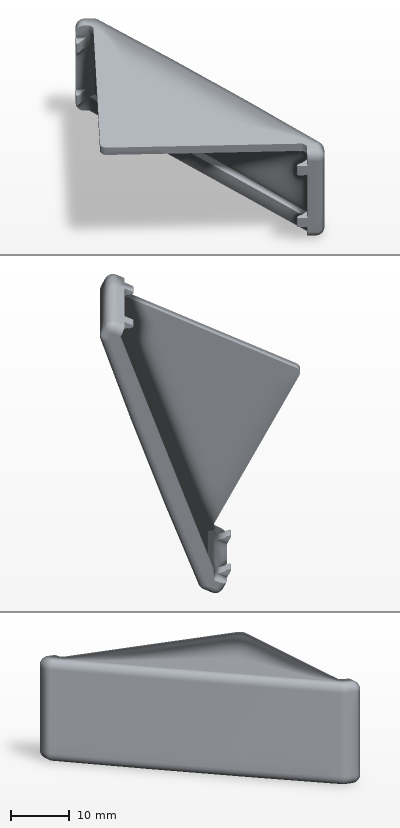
import cadquery as cq
import math

length = 56.8
depth = 27.3
height = 18.0
edge_radius = 1.55

back_sagitta = 0.35
nose_y = -2.95
nose_x = length / 2 + edge_radius * (math.sqrt(2) - 1)
back_corner_y = -back_sagitta
back_corner_x = nose_x - (back_corner_y - nose_y)
return_tip_x = 26.9
return_tip_y = nose_y - (nose_x - return_tip_x)
front_y = -3.4
return_inner_x = return_tip_x - (front_y - return_tip_y)

recess_depth = 1.15
recess_end_x = 25.1
wall_y = front_y + recess_depth
sill_height = 2.9
plate_thickness = edge_radius
plate_bottom = height - plate_thickness

bar_half_length = 23.05
bar_height = 1.35
bar_embed = 0.3
bar_projection = 0.45
bar_depth = bar_projection + back_sagitta + bar_embed

plate_half_width = 24.35
apex_radius = 1.15
apex_y = -depth - apex_radius * (math.sqrt(2) - 1)

hook_height = 1.95
hook_bottoms = (2.55, 13.5)
hook_inner_x = 25.6
hook_nose_x = 25.45
hook_nose_y = -5.3
hook_tip_y = -6.2
hook_tip_radius = 0.15
hook_root_y = -3.5


def prism(points, bottom, top):
    """Extrude a closed polygon between two heights."""
    return cq.Workplane("XY").workplane(offset=bottom).polyline(points).close().extrude(top - bottom)


def make_rail():
    """Back wall with its returns, rounded on every outer edge."""
    rail = (
        cq.Workplane("XY")
        .moveTo(-back_corner_x, back_corner_y)
        .threePointArc((0, 0), (back_corner_x, back_corner_y))
        .lineTo(nose_x, nose_y)
        .lineTo(return_tip_x, return_tip_y)
        .lineTo(return_inner_x, front_y)
        .lineTo(-return_inner_x, front_y)
        .lineTo(-return_tip_x, return_tip_y)
        .lineTo(-nose_x, nose_y)
        .close()
        .extrude(height)
    )
    outer_corners = [(side * x, y) for side in (-1, 1)
                     for x, y in ((back_corner_x, back_corner_y), (nose_x, nose_y))]
    for x, y in outer_corners:
        rail = rail.edges(cq.selectors.NearestToPointSelector((x, y, height / 2))).fillet(edge_radius)
    back_middle_top = cq.selectors.NearestToPointSelector((0, 0, height))
    back_middle_bottom = cq.selectors.NearestToPointSelector((0, 0, 0))
    return rail.edges(back_middle_top).fillet(edge_radius).edges(back_middle_bottom).fillet(edge_radius)


def make_recess():
    """Space between the sill and the plate, ending at a wall that bows like the back."""
    return (
        cq.Workplane("XY")
        .workplane(offset=sill_height)
        .moveTo(-return_inner_x, front_y)
        .lineTo(-recess_end_x, wall_y)
        .threePointArc((0, wall_y + back_sagitta), (recess_end_x, wall_y))
        .lineTo(return_inner_x, front_y)
        .close()
        .extrude(plate_bottom - sill_height)
    )


def make_bar():
    """Stiffening bar in the corner between the wall and the plate."""
    return (
        cq.Workplane("XY")
        .box(2 * bar_half_length, bar_depth, bar_height, centered=(True, False, False))
        .translate((0, wall_y - bar_projection, plate_bottom - bar_height))
    )


def make_plate():
    """Triangular plate with a rounded apex."""
    plate = prism([(-plate_half_width, front_y), (plate_half_width, front_y), (0, apex_y)], plate_bottom, height)
    return plate.edges("|Z and <Y").fillet(apex_radius)


def make_hook(side, bottom):
    """Snap hook continuing the outer face of one return."""
    tip_x = nose_x - (nose_y - hook_tip_y)
    outline = [
        (return_tip_x, return_tip_y),
        (tip_x, hook_tip_y),
        (hook_nose_x, hook_tip_y),
        (hook_nose_x, hook_nose_y),
        (hook_inner_x, hook_nose_y),
        (hook_inner_x, hook_root_y),
    ]
    hook = prism([(side * x, y) for x, y in outline], bottom, bottom + hook_height)
    return hook.edges("|Z and <Y").fillet(hook_tip_radius)


result = make_rail().cut(make_recess()).union(make_bar()).union(make_plate())
for side in (-1, 1):
    for bottom in hook_bottoms:
        result = result.union(make_hook(side, bottom))